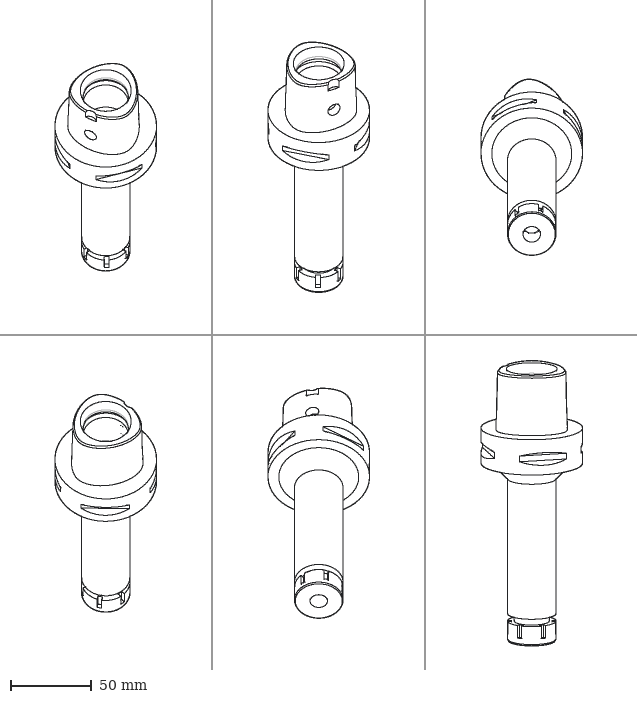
import cadquery as cq
import math

TOTAL_HEIGHT = 173.0
NUT_HEIGHT = 12.5
STEM_BOTTOM = 17.1
CONE_BOTTOM = 103.1
FLANGE_BOTTOM = 113.0
FLANGE_TOP = 135.5

NECK_RADIUS = 10.9
STEM_RADIUS = 15.0
CONE_TOP_RADIUS = 24.7
FLANGE_RADIUS = 31.5

SHANK_RADIUS = 22.1
SHANK_LOBE = 1.4
SHANK_TAPER = 1 / 40
LOBE_COUNT = 3
LOBE_ANGLE = 90
OUTLINE_POINTS = 72
TIP_CHAMFER_HEIGHT = 1.2
TIP_CHAMFER_WIDTH = 0.9

MOUTH_RADIUS = 15.7
BORE_RADIUS = 14.0
MOUTH_CONE_DEPTH = 6.2
GROOVE_TOP_DEPTH = 8.1
GROOVE_BOTTOM_DEPTH = 12.0
GROOVE_RADIUS = 16.0
COUNTERBORE_RADIUS = 9.2
THROUGH_RADIUS = 6.0

NOTCH_RADIUS = 4.8
NOTCH_INNER_Y = -17.8
NOTCH_DEPTH = 6.0
BLIND_HOLE_RADIUS = 4.2
BLIND_HOLE_Z = 150.7
BLIND_HOLE_FLOOR_Y = -14.7

SLOT_COUNT = 4
SLOT_Z = 123.0
SLOT_FLOOR_RADIUS = 27.7
SLOT_FLOOR_HEIGHT = 3.6
SLOT_FLANK_ANGLE = 30

NUT_RADIUS = 15.0
NUT_BORE_RADIUS = 5.4
NUT_CHAMFER_HEIGHT = 1.0
NUT_CHAMFER_WIDTH = 0.5
WRENCH_SLOT_COUNT = 6
WRENCH_SLOT_WIDTH = 3.0
WRENCH_SLOT_FLOOR_RADIUS = 12.5
WRENCH_SLOT_BOTTOM = 4.5


def shank_wire(mean_radius, z):
    """Closed three-lobed outline of constant width, at height z."""
    points = []
    for i in range(OUTLINE_POINTS):
        angle = 2 * math.pi * i / OUTLINE_POINTS
        phase = LOBE_COUNT * (angle - math.radians(LOBE_ANGLE))
        reach = mean_radius + SHANK_LOBE * math.cos(phase)
        swing = -LOBE_COUNT * SHANK_LOBE * math.sin(phase)
        x = reach * math.cos(angle) - swing * math.sin(angle)
        y = reach * math.sin(angle) + swing * math.cos(angle)
        points.append(cq.Vector(x, y, z))
    return cq.Wire.assembleEdges([cq.Edge.makeSpline(points, periodic=True)])


def shank():
    """Tapered shank with a chamfered tip."""
    chamfer_start = TOTAL_HEIGHT - TIP_CHAMFER_HEIGHT
    radius_at_chamfer = SHANK_RADIUS - SHANK_TAPER * (chamfer_start - FLANGE_TOP)
    base = shank_wire(SHANK_RADIUS, FLANGE_TOP)
    shoulder = shank_wire(radius_at_chamfer, chamfer_start)
    tip = shank_wire(radius_at_chamfer - TIP_CHAMFER_WIDTH, TOTAL_HEIGHT)
    body = cq.Solid.makeLoft([base, shoulder], True)
    chamfered_tip = cq.Solid.makeLoft([shoulder, tip], True)
    return cq.Workplane(obj=body).union(cq.Workplane(obj=chamfered_tip))


def turned(profile):
    """Solid of revolution about Z from (radius, height) points."""
    return cq.Workplane("XZ").polyline(profile).close().revolve(360, (0, 0), (0, 1))


def holder_bore():
    """Stepped hole through the holder, with a conical mouth and a ring groove."""
    groove_cone_depth = GROOVE_BOTTOM_DEPTH + GROOVE_RADIUS - BORE_RADIUS
    return turned([
        (0, TOTAL_HEIGHT),
        (MOUTH_RADIUS, TOTAL_HEIGHT),
        (BORE_RADIUS, TOTAL_HEIGHT - MOUTH_CONE_DEPTH),
        (BORE_RADIUS, TOTAL_HEIGHT - GROOVE_TOP_DEPTH),
        (GROOVE_RADIUS, TOTAL_HEIGHT - GROOVE_TOP_DEPTH),
        (GROOVE_RADIUS, TOTAL_HEIGHT - GROOVE_BOTTOM_DEPTH),
        (BORE_RADIUS, TOTAL_HEIGHT - groove_cone_depth),
        (BORE_RADIUS, FLANGE_TOP),
        (COUNTERBORE_RADIUS, FLANGE_TOP),
        (COUNTERBORE_RADIUS, FLANGE_BOTTOM),
        (THROUGH_RADIUS, FLANGE_BOTTOM),
        (THROUGH_RADIUS, NUT_HEIGHT),
        (0, NUT_HEIGHT),
    ])


def key_notch():
    """Round-backed notch open to the top and the -Y side of the shank."""
    return (
        cq.Workplane("XY", origin=(0, NOTCH_INNER_Y - NOTCH_RADIUS, TOTAL_HEIGHT))
        .circle(NOTCH_RADIUS)
        .extrude(-NOTCH_DEPTH)
    )


def blind_hole():
    """Flat-bottomed hole entering the shank from the -Y side."""
    return (
        cq.Workplane("XZ", origin=(0, BLIND_HOLE_FLOOR_Y, BLIND_HOLE_Z))
        .circle(BLIND_HOLE_RADIUS)
        .extrude(FLANGE_RADIUS + BLIND_HOLE_FLOOR_Y)
    )


def gripper_slots():
    """Straight trapezoidal slots cut tangentially across the flange rim."""
    floor_half = SLOT_FLOOR_HEIGHT / 2
    flank_rise = (FLANGE_RADIUS - SLOT_FLOOR_RADIUS) * math.tan(math.radians(SLOT_FLANK_ANGLE))
    mouth_half = floor_half + flank_rise
    slot = (
        cq.Workplane("XZ")
        .polyline([
            (SLOT_FLOOR_RADIUS, SLOT_Z - floor_half),
            (FLANGE_RADIUS, SLOT_Z - mouth_half),
            (FLANGE_RADIUS, SLOT_Z + mouth_half),
            (SLOT_FLOOR_RADIUS, SLOT_Z + floor_half),
        ])
        .close()
        .extrude(FLANGE_RADIUS, both=True)
    )
    spacing = 360 / SLOT_COUNT
    slots = cq.Workplane("XY")
    for i in range(SLOT_COUNT):
        slots = slots.add(slot.rotate((0, 0, 0), (0, 0, 1), (i + 0.5) * spacing))
    return slots.combine()


def make_holder():
    """Tool holder: shank, flange, cone, stem and neck in one piece."""
    body = turned([
        (0, NUT_HEIGHT),
        (NECK_RADIUS, NUT_HEIGHT),
        (NECK_RADIUS, STEM_BOTTOM),
        (STEM_RADIUS, STEM_BOTTOM),
        (STEM_RADIUS, CONE_BOTTOM),
        (CONE_TOP_RADIUS, FLANGE_BOTTOM),
        (FLANGE_RADIUS, FLANGE_BOTTOM),
        (FLANGE_RADIUS, FLANGE_TOP),
        (0, FLANGE_TOP),
    ])
    body = body.union(shank())
    body = body.cut(holder_bore())
    body = body.cut(key_notch())
    body = body.cut(blind_hole())
    return body.cut(gripper_slots())


def make_nut():
    """Clamping nut seated against the end of the holder's neck."""
    nut = turned([
        (NUT_BORE_RADIUS, 0),
        (NUT_RADIUS - NUT_CHAMFER_WIDTH, 0),
        (NUT_RADIUS, NUT_CHAMFER_HEIGHT),
        (NUT_RADIUS, NUT_HEIGHT),
        (NUT_BORE_RADIUS, NUT_HEIGHT),
    ])
    wrench_slot = cq.Workplane("XY").box(
        NUT_RADIUS,
        WRENCH_SLOT_WIDTH,
        NUT_HEIGHT - WRENCH_SLOT_BOTTOM,
        centered=(False, True, False),
    ).translate((WRENCH_SLOT_FLOOR_RADIUS, 0, WRENCH_SLOT_BOTTOM))
    for i in range(WRENCH_SLOT_COUNT):
        angle = i * 360 / WRENCH_SLOT_COUNT
        nut = nut.cut(wrench_slot.rotate((0, 0, 0), (0, 0, 1), angle))
    return nut


holder = make_holder()
nut = make_nut()

result = cq.Compound.makeCompound([holder.solids().val(), nut.solids().val()])